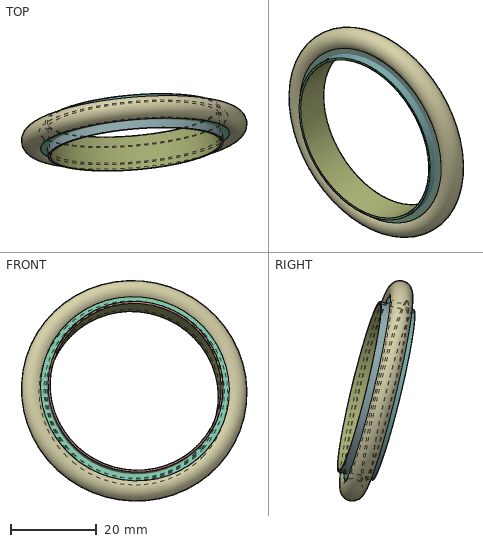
import cadquery as cq
import math

TURN_ANGLE = 5.0
LEAN_ANGLE = 13.6

BORE_DIAMETER = 40.0
SLEEVE_DIAMETER = 41.0
SLEEVE_LENGTH = 8.1
COLLAR_DIAMETER = 44.3
COLLAR_WIDTH = 4.2
EDGE_RADIUS = 0.15

SEAL_DIAMETER = 52.85
SEAL_SECTION_DIAMETER = 5.25
SEAL_CENTRE_RADIUS = (SEAL_DIAMETER - SEAL_SECTION_DIAMETER) / 2

lean = math.radians(LEAN_ANGLE)
turn = math.radians(TURN_ANGLE)
axis_direction = (
    math.sin(turn) * math.cos(lean),
    -math.cos(turn) * math.cos(lean),
    math.sin(lean),
)
ring_plane = cq.Plane(
    origin=(0, 0, 0),
    xDir=(math.cos(turn), math.sin(turn), 0),
    normal=axis_direction,
)


def centred_cylinder(diameter, length):
    """Cylinder on the ring axis, centred on the ring plane."""
    return cq.Workplane(ring_plane).circle(diameter / 2).extrude(length / 2, both=True)


def make_seal():
    """O-ring with a round cross-section."""
    torus = cq.Solid.makeTorus(SEAL_CENTRE_RADIUS, SEAL_SECTION_DIAMETER / 2)
    return cq.Workplane(torus.moved(cq.Location(ring_plane)))


def make_centring_ring(seal):
    """Thin sleeve with a central collar hollowed to seat the seal."""
    sleeve = centred_cylinder(SLEEVE_DIAMETER, SLEEVE_LENGTH)
    collar = centred_cylinder(COLLAR_DIAMETER, COLLAR_WIDTH)
    bore = centred_cylinder(BORE_DIAMETER, SLEEVE_LENGTH)
    axis = cq.Vector(*axis_direction)
    stepped_body = sleeve.union(collar)
    flat_faces = sorted(stepped_body.faces("%PLANE").vals(), key=lambda face: face.Center().dot(axis))
    collar_edges = [edge for face in flat_faces[1:-1] for edge in face.Edges()]
    rounded_body = stepped_body.newObject(collar_edges).fillet(EDGE_RADIUS)
    return rounded_body.cut(bore).cut(seal)


o_ring = make_seal()
centring_ring = make_centring_ring(o_ring)

result = cq.Compound.makeCompound([*centring_ring.solids().vals(), o_ring.val()])